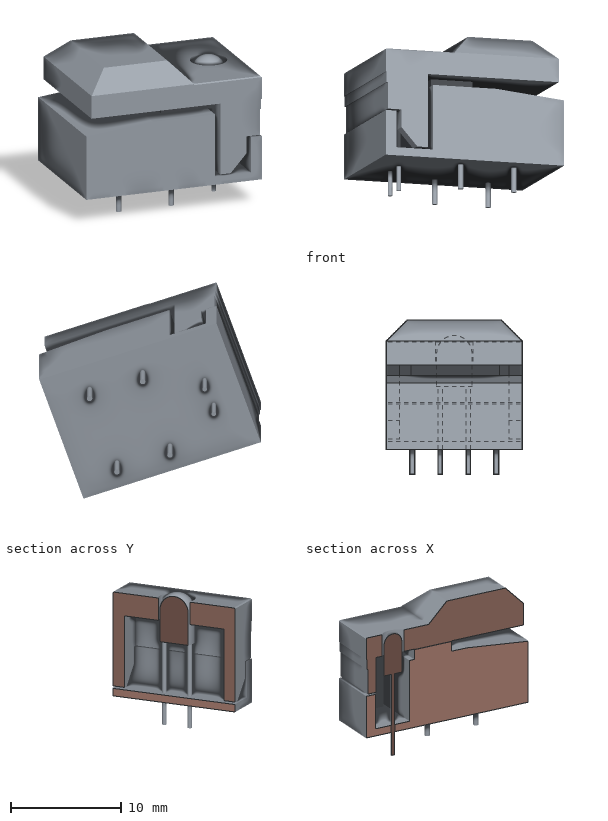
import cadquery as cq

width = 12.35
length = 17.0
back_y = length / 2
front_y = -length / 2
pin_length = 2.26

floor_thickness = 0.75
back_wall_thickness = 1.02
back_wall_height = 4.13
slot_front_y = 3.98
base_height = 6.72
base_front_height = 6.04
taper_start_y = -2.04

plunger_width = 8.0
plunger_length = 3.95
plunger_x = 0.08
plunger_y = 1.5

contact_diameter = 0.5
contact_pitch_x = 7.62
contact_pitch_y = 5.08
contact_center_y = -1.94

cap_bottom = 7.68
cap_shoulder = 9.85
cap_top = 11.75
cap_front_y = -7.99
ridge_back_y = 1.95
ridge_inset = cap_top - cap_shoulder
rear_chamfer = 0.1

leg_width = 1.19
leg_front_y = 4.49
leg_bottom = 0.94
hook_tip_y = 5.49
hook_back_y = 7.0
hook_slope_top = 2.64
notch_top = 4.27
upper_step_y = back_y - 0.08
lower_step_y = back_y - 0.19
lower_step_top = base_height
leg_pocket_back_y = 7.41

lamp_y = 5.68
lamp_diameter = 3.2
lamp_hole_diameter = 3.4
lamp_bottom = 5.7
lamp_top = 10.34
lead_diameter = 0.4
lead_pitch = 2.55


def side_extrusion(points, extrusion_width):
    """Extrude a closed (Y, Z) outline along X, centred on X = 0."""
    return cq.Workplane("YZ").polyline(points).close().extrude(extrusion_width / 2, both=True)


def rods(diameter, points, bottom, top):
    """Vertical rods centred on the given (X, Y) points."""
    return (
        cq.Workplane("XY", origin=(0, 0, bottom))
        .pushPoints(points)
        .circle(diameter / 2)
        .extrude(top - bottom)
    )


lead_points = [(side * lead_pitch / 2, lamp_y) for side in (-1, 1)]


def make_base():
    slot_back_y = back_y - back_wall_thickness
    body = side_extrusion(
        [
            (front_y, 0),
            (back_y, 0),
            (back_y, back_wall_height),
            (slot_back_y, back_wall_height),
            (slot_back_y, floor_thickness),
            (slot_front_y, floor_thickness),
            (slot_front_y, base_height),
            (taper_start_y, base_height),
            (front_y, base_front_height),
        ],
        width,
    )

    plunger = (
        cq.Workplane("XY", origin=(plunger_x, plunger_y, base_height))
        .rect(plunger_width, plunger_length)
        .extrude(cap_bottom - base_height)
    )

    contact_points = [
        (side * contact_pitch_x / 2, contact_center_y + end * contact_pitch_y / 2)
        for side in (-1, 1)
        for end in (-1, 1)
    ]
    contacts = rods(contact_diameter, contact_points, -pin_length, 0)

    lead_holes = rods(lead_diameter, lead_points, 0, floor_thickness)
    return body.union(plunger).union(contacts).cut(lead_holes)


def make_ridge():
    """Raised key top with four 45 degree sloping sides."""
    ridge_length = ridge_back_y - cap_front_y
    return (
        cq.Workplane("XY", origin=(0, (ridge_back_y + cap_front_y) / 2, cap_shoulder))
        .rect(width, ridge_length)
        .extrude(ridge_inset, taper=45)
    )


def make_rear_slab():
    """Flat rear part of the cap plate, chamfered along its three outer top edges."""
    return (
        cq.Workplane("XY", origin=(0, (back_y + ridge_back_y) / 2, cap_bottom))
        .rect(width, back_y - ridge_back_y)
        .extrude(cap_shoulder - cap_bottom)
        .faces(">Z")
        .edges("<X or >X or >Y")
        .chamfer(rear_chamfer)
    )


def make_front_slab():
    return (
        cq.Workplane("XY", origin=(0, (ridge_back_y + cap_front_y) / 2, cap_bottom))
        .rect(width, ridge_back_y - cap_front_y)
        .extrude(cap_shoulder - cap_bottom)
    )


def make_legs():
    """Two hooked side legs joined by a wall at the back."""
    legs = side_extrusion(
        [
            (leg_front_y, cap_bottom),
            (leg_front_y, leg_bottom),
            (hook_tip_y, leg_bottom),
            (hook_back_y, hook_slope_top),
            (hook_back_y, notch_top),
            (lower_step_y, notch_top),
            (lower_step_y, lower_step_top),
            (upper_step_y, lower_step_top),
            (upper_step_y, cap_bottom),
        ],
        width,
    )
    pocket = side_extrusion(
        [
            (leg_front_y, leg_bottom),
            (leg_pocket_back_y, leg_bottom),
            (leg_pocket_back_y, cap_bottom),
            (leg_front_y, cap_bottom),
        ],
        width - 2 * leg_width,
    )
    return legs.cut(pocket)


def make_cap():
    lamp_hole = rods(lamp_hole_diameter, [(0, lamp_y)], cap_bottom, cap_shoulder)
    plate = make_front_slab().union(make_rear_slab()).union(make_ridge())
    return plate.union(make_legs()).cut(lamp_hole)


def make_lamp():
    lamp_radius = lamp_diameter / 2
    dome_center_z = lamp_top - lamp_radius
    barrel = rods(lamp_diameter, [(0, lamp_y)], lamp_bottom, dome_center_z)
    dome = cq.Workplane("XY", origin=(0, lamp_y, dome_center_z)).sphere(lamp_radius)
    leads = rods(lead_diameter, lead_points, -pin_length, lamp_bottom)
    return barrel.union(dome).union(leads)


base = make_base()
cap = make_cap()
lamp = make_lamp()

result = cq.Compound.makeCompound([base.val(), cap.val(), lamp.val()])